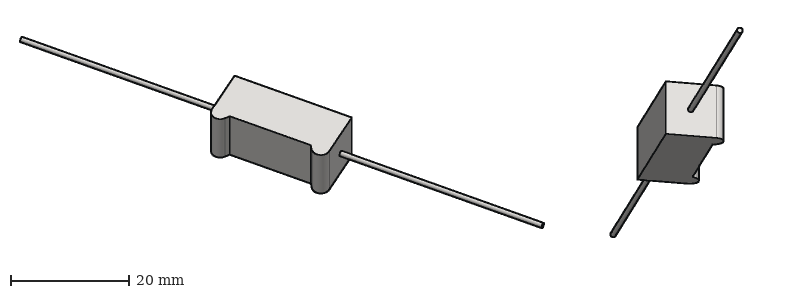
import cadquery as cq
import math

total_length = 98.4
body_length = 22.1
body_depth = 8.9
body_height = 9.5

foot_radius = 1.6
foot_height = 1.5
flank_angle = math.radians(55)

lead_diameter = 1.0
lead_to_back = 4.3

back_y = lead_to_back
floor_y = back_y - body_depth
half_length = body_length / 2
foot_center_x = half_length - foot_radius
foot_tip_y = floor_y - foot_height
foot_center_y = foot_tip_y + foot_radius

tangent_x = foot_center_x - foot_radius * math.sin(flank_angle)
tangent_y = foot_center_y - foot_radius * math.cos(flank_angle)
flank_top_x = tangent_x - (floor_y - tangent_y) / math.tan(flank_angle)


def make_body():
    """Rectangular block with a rounded foot at each end of its front side."""
    return (
        cq.Workplane("XY")
        .moveTo(-half_length, back_y)
        .lineTo(-half_length, foot_center_y)
        .threePointArc((-foot_center_x, foot_tip_y), (-tangent_x, tangent_y))
        .lineTo(-flank_top_x, floor_y)
        .lineTo(flank_top_x, floor_y)
        .lineTo(tangent_x, tangent_y)
        .threePointArc((foot_center_x, foot_tip_y), (half_length, foot_center_y))
        .lineTo(half_length, back_y)
        .close()
        .extrude(body_height / 2, both=True)
    )


def make_leads():
    """One round wire running through the body and out of both ends."""
    return cq.Workplane("YZ").circle(lead_diameter / 2).extrude(total_length / 2, both=True)


result = make_body().union(make_leads())